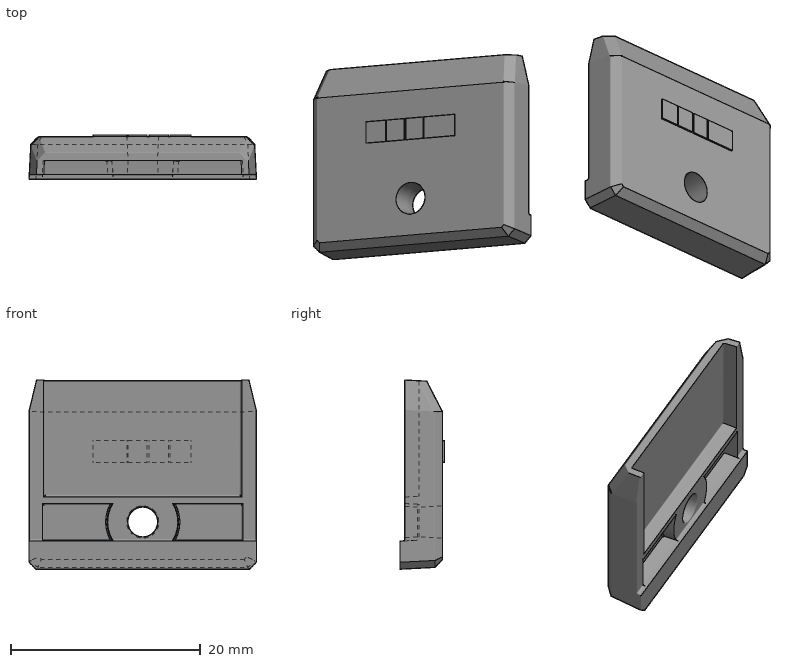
import cadquery as cq
import math

outer_width = 24.0
outer_height = 19.95
body_depth = 4.5
draft_angle = 3.0
draft_slope = math.tan(math.radians(draft_angle))
edge_round = 0.1

foot_height = 3.0
step_y = 0.5
step_fillet = 0.2

round_loss = edge_round * (draft_slope + 1 / math.cos(math.radians(draft_angle)) - 1)
width = outer_width + 2 * round_loss
height = outer_height + round_loss + step_y * draft_slope

top_corner_inset = 0.77
top_corner_drop = 3.2
bottom_corner = 0.75

slant_edge_y = 2.83
rear_chamfer = 0.82

recess_floor_y = 2.02
recess_depth = recess_floor_y - step_y
recess_fillet = 0.15
panel_width = 20.87
panel_bottom = 7.63
panel_overshoot = 1.2
pocket_span = 21.15
pocket_top = 6.93

hole_z = 5.0
boss_radius = 3.7
waist_radius = 1.55
waist_y = recess_floor_y
hole_edge_fillet = 0.1

pad_height = 0.2
pad_bottom = 11.28
pad_top = 13.55
pad_spans = [(-5.23, -1.68), (-1.54, 0.45), (0.67, 2.73), (2.85, 5.1)]

pick_margin = 0.02


def plane_at(y):
    """XZ sketch plane at depth y; sketch axes are X and Z, positive extrusion runs towards -Y."""
    return cq.Workplane("XZ", origin=(0, y, 0))


def outline_points(y):
    """Corners of the body at depth y, drawn in by the draft on every side."""
    inset = y * draft_slope
    half = width / 2 - inset
    top = height - inset
    right_side = [
        (half - bottom_corner, inset),
        (half, inset + bottom_corner),
        (half, top - top_corner_drop),
        (half - top_corner_inset, top),
    ]
    left_side = [(-x, z) for x, z in reversed(right_side)]
    return [cq.Vector(x, y, z) for x, z in right_side + left_side]


def flat_face(corners):
    return cq.Face.makeFromWires(cq.Wire.makePolygon(corners, close=True))


def make_drafted_block():
    """Flat-sided block between the front outline and the smaller rear outline."""
    front = outline_points(0)
    rear = outline_points(body_depth)
    faces = [flat_face(front), flat_face(rear)]
    for i in range(len(front)):
        faces.append(flat_face([front[i - 1], front[i], rear[i], rear[i - 1]]))
    return cq.Workplane(cq.Solid.makeSolid(cq.Shell.makeShell(faces)))


def make_body():
    """Drafted block with the slant cut off its upper rear and its rear edges finished."""
    slant_bottom_z = height - body_depth * draft_slope - top_corner_drop
    slant_top_z = height - slant_edge_y * draft_slope
    run_y = body_depth - slant_edge_y
    rise_z = slant_top_z - slant_bottom_z
    slant = (
        cq.Workplane("YZ")
        .polyline([
            (body_depth, slant_bottom_z),
            (body_depth - 2 * run_y, slant_bottom_z + 2 * rise_z),
            (body_depth + run_y, slant_bottom_z + 2 * rise_z),
            (body_depth + run_y, slant_bottom_z),
        ])
        .close()
        .extrude(width, both=True)
    )
    return round_rear_edges(chamfer_rear_rim(make_drafted_block().cut(slant)))


def edges_behind(body, y):
    """Edges that lie wholly at depth y or further back."""
    return [edge for edge in body.edges().vals() if edge.BoundingBox().ymin > y - pick_margin]


def chamfer_rear_rim(body):
    """Chamfer the rim of the rear face and of the slant, leaving the two level edges of the slant."""
    rear_rim = body.faces(">Y").edges("not >Z").vals()
    slant_sides = [edge for edge in edges_behind(body, slant_edge_y) if edge.BoundingBox().ylen > 0.25]
    return body.newObject(rear_rim + slant_sides).chamfer(rear_chamfer)


def round_rear_edges(body):
    """Ease the upright and top edges around the rear chamfers and the slant."""
    long_rise = top_corner_drop / 2
    eased = [
        edge for edge in edges_behind(body, step_y)
        if edge.BoundingBox().zlen > long_rise or edge.BoundingBox().zmin > height - long_rise
    ]
    return body.newObject(eased).fillet(edge_round)


def cut_front_step(body):
    """Set the front back above the foot, with a fillet along the inside corner."""
    step = (
        cq.Workplane("YZ")
        .polyline([(0, foot_height), (step_y, foot_height), (step_y, height), (0, height)])
        .close()
        .extrude(width, both=True)
        .edges("|X and >Y and <Z")
        .fillet(step_fillet)
    )
    return body.cut(step)


def round_front_edges(body):
    """Ease the side and top edges of the stepped face and the side edges of the foot."""
    front_edges = [edge for edge in body.edges().vals() if edge.BoundingBox().ymax < step_y + pick_margin]
    rim = [edge for edge in front_edges if edge.BoundingBox().zlen > step_fillet + pick_margin]
    top = [edge for edge in front_edges if edge.BoundingBox().zmin > outer_height - 0.25]
    return body.newObject(rim + top).fillet(edge_round)


def make_recess(left, right, bottom, top):
    """Tapered rectangular recess tool, sunk from the stepped face to the recess floor."""
    return (
        plane_at(step_y)
        .center((left + right) / 2, (bottom + top) / 2)
        .rect(right - left, top - bottom)
        .extrude(-recess_depth, taper=draft_angle)
    )


def cut_panel(body):
    """Cut the wide panel recess, open at the top."""
    half = panel_width / 2
    panel = make_recess(-half, half, panel_bottom, height + panel_overshoot)
    return body.cut(panel.faces(">Y").edges("not >Z").fillet(recess_fillet))


def make_cone(start_y, start_radius, end_y, end_radius):
    """Cone on the axis of the hole."""
    base = cq.Vector(0, start_y, hole_z)
    return cq.Workplane(cq.Solid.makeCone(start_radius, end_radius, end_y - start_y, base, cq.Vector(0, 1, 0)))


def make_boss():
    """Solid of the boss: a cone that flares into the recess floor through a cove."""
    root_radius = boss_radius + (recess_depth - recess_fillet) * draft_slope
    cove_y = recess_floor_y - recess_fillet
    return (
        cq.Workplane("XY", origin=(0, 0, hole_z))
        .lineTo(boss_radius, 0)
        .lineTo(boss_radius, step_y)
        .lineTo(root_radius, cove_y)
        .radiusArc((root_radius + recess_fillet, recess_floor_y), -recess_fillet)
        .lineTo(0, recess_floor_y)
        .close()
        .revolve(360, (0, 0, 0), (0, 1, 0))
    )


def cut_pockets(body):
    """Cut the two pockets left and right of the boss, clearing the step fillet in front of them."""
    half = pocket_span / 2
    recess = make_recess(-half, half, foot_height, pocket_top)
    recess = recess.faces(">Y").edges("not <Z").fillet(recess_fillet)
    mouth = plane_at(step_y).center(0, (foot_height + pocket_top) / 2).rect(pocket_span, pocket_top - foot_height)
    recess = recess.union(mouth.extrude(step_y))
    return body.cut(recess.cut(make_boss()))


def cut_hole(body):
    """Cut the through hole as two cones that meet at the waist, and round its front edge."""
    mouth_radius = waist_radius + (waist_y - step_y) * draft_slope
    rear_radius = waist_radius + (body_depth - waist_y) * draft_slope
    front_cone = make_cone(step_y, mouth_radius, waist_y, waist_radius)
    rear_cone = make_cone(waist_y, waist_radius, body_depth, rear_radius)
    drilled = body.cut(front_cone).cut(rear_cone)
    mouth_edge = drilled.edges("%CIRCLE").edges(cq.selectors.NearestToPointSelector((0, step_y, hole_z)))
    return mouth_edge.fillet(hole_edge_fillet)


def add_rear_pads(body):
    """Add the row of raised pads to the rear face."""
    for left, right in pad_spans:
        pad = (
            plane_at(body_depth)
            .center((left + right) / 2, (pad_bottom + pad_top) / 2)
            .rect(right - left, pad_top - pad_bottom)
            .extrude(-pad_height)
        )
        body = body.union(pad)
    return body


result = make_body()
result = cut_front_step(result)
result = round_front_edges(result)
result = cut_panel(result)
result = cut_pockets(result)
result = cut_hole(result)
result = add_rear_pads(result)